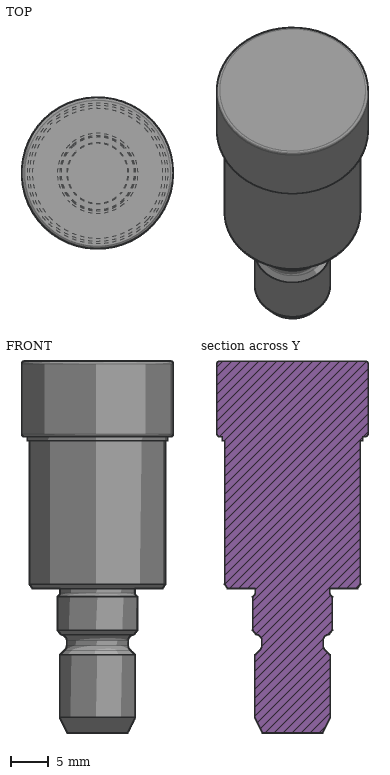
import cadquery as cq
import math

total_height = 49.0
head_height = 10.0
collar_height = 0.55
body_bottom = 19.0
land_bottom = 13.55
land_top = 17.95
relief_bottom = 18.45
land_taper_bottom = 12.95
neck_top = 12.2
neck_bottom = 11.55
tip_shoulder = 10.3
tip_taper_height = 2.05

head_radius = 10.0
collar_radius = 9.25
body_radius = 8.95
land_radius = 5.3
pin_radius = 5.0
relief_radius = 4.95
neck_radius = 4.05
tip_end_radius = 3.95

head_fillet = 0.4
body_chamfer_width = 0.4
body_chamfer_height = 0.6
relief_fillet = 0.45
neck_lower_fillet = 0.9

head_bottom = total_height - head_height
collar_bottom = head_bottom - collar_height
neck_upper_fillet = land_taper_bottom - neck_top


def fillet_point(wall_radius, wall_end, fillet_radius, degrees, direction):
    """Point on a fillet curving outward from a wall end; direction is 1 upward, -1 downward."""
    angle = math.radians(degrees)
    radius = wall_radius + fillet_radius * (1 - math.cos(angle))
    height = wall_end + direction * fillet_radius * math.sin(angle)
    return radius, height


def lower_neck_point(degrees):
    return fillet_point(neck_radius, neck_bottom, neck_lower_fillet, degrees, -1)


def upper_neck_point(degrees):
    return fillet_point(neck_radius, neck_top, neck_upper_fillet, degrees, 1)


def relief_point(degrees):
    return fillet_point(relief_radius, relief_bottom, relief_fillet, degrees, -1)


pin_profile = (
    cq.Workplane("XZ")
    .lineTo(tip_end_radius, 0)
    .lineTo(pin_radius, tip_taper_height)
    .lineTo(pin_radius, tip_shoulder)
    .lineTo(*lower_neck_point(45))
    .threePointArc(lower_neck_point(22.5), lower_neck_point(0))
    .lineTo(neck_radius, neck_top)
    .threePointArc(upper_neck_point(45), upper_neck_point(90))
    .lineTo(land_radius, land_bottom)
    .lineTo(land_radius, land_top)
    .lineTo(*relief_point(45))
    .threePointArc(relief_point(22.5), relief_point(0))
    .lineTo(relief_radius, body_bottom)
    .lineTo(0, body_bottom)
    .close()
)
pin = pin_profile.revolve(360, (0, 0, 0), (0, 1, 0))

body_profile = (
    cq.Workplane("XZ")
    .moveTo(0, body_bottom)
    .lineTo(body_radius - body_chamfer_width, body_bottom)
    .lineTo(body_radius, body_bottom + body_chamfer_height)
    .lineTo(body_radius, collar_bottom)
    .lineTo(collar_radius, collar_bottom)
    .lineTo(collar_radius, head_bottom)
    .lineTo(0, head_bottom)
    .close()
)
body = body_profile.revolve(360, (0, 0, 0), (0, 1, 0))

head = (
    cq.Workplane("XY")
    .workplane(offset=head_bottom)
    .circle(head_radius)
    .extrude(head_height)
    .faces("|Z")
    .edges()
    .fillet(head_fillet)
)

result = pin.union(body).union(head)